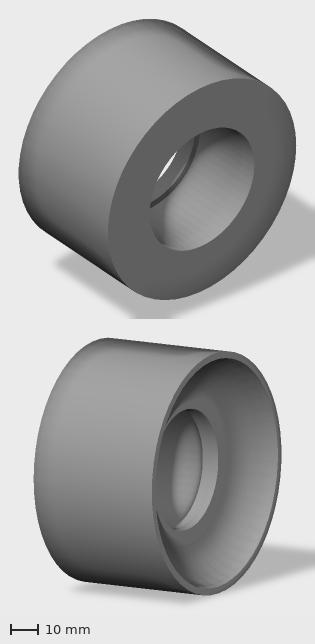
import cadquery as cq

width = 51.0
outer_radius = 90.0 / 2
bore_radius = 45.0 / 2
counterbore_radius = 50.0 / 2
rim_radius = 42.5
floor_radius = 29.2
shoulder_depth = 20.0

dish_depth = rim_radius - floor_radius
front_x = -width / 2
back_x = width / 2
floor_x = front_x + dish_depth
shoulder_x = front_x + shoulder_depth

section = (
    cq.Workplane("XY")
    .moveTo(floor_x, bore_radius)
    .lineTo(floor_x, floor_radius)
    .radiusArc((front_x, rim_radius), -dish_depth)
    .lineTo(front_x, outer_radius)
    .lineTo(back_x, outer_radius)
    .lineTo(back_x, counterbore_radius)
    .lineTo(shoulder_x, counterbore_radius)
    .lineTo(shoulder_x, bore_radius)
    .close()
)

result = section.revolve(360, (0, 0, 0), (1, 0, 0))